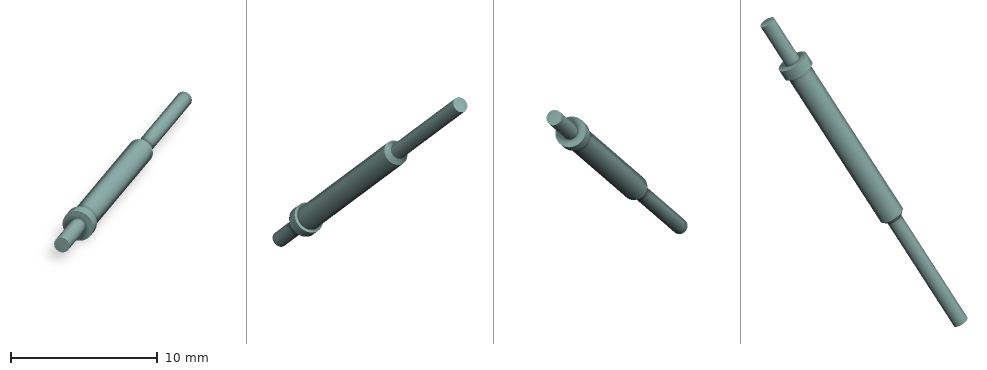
import cadquery as cq

total_length = 26.1
pin_radius = 0.55
body_radius = 0.9
flange_radius = 1.1

tip_length = 3.42
flange_length = 0.8
body_length = 12.9
taper_length = body_radius - pin_radius

front_y = -total_length / 2
back_y = total_length / 2
flange_front_y = front_y + tip_length
flange_back_y = flange_front_y + flange_length
body_back_y = flange_back_y + body_length
taper_start_y = body_back_y - taper_length

profile = [
    (0, front_y),
    (-pin_radius, front_y),
    (-pin_radius, flange_front_y),
    (-flange_radius, flange_front_y),
    (-flange_radius, flange_back_y),
    (-body_radius, flange_back_y),
    (-body_radius, taper_start_y),
    (-pin_radius, body_back_y),
    (-pin_radius, back_y),
    (0, back_y),
]

result = cq.Workplane("XY").polyline(profile).close().revolve(360, (0, 0, 0), (0, 1, 0))